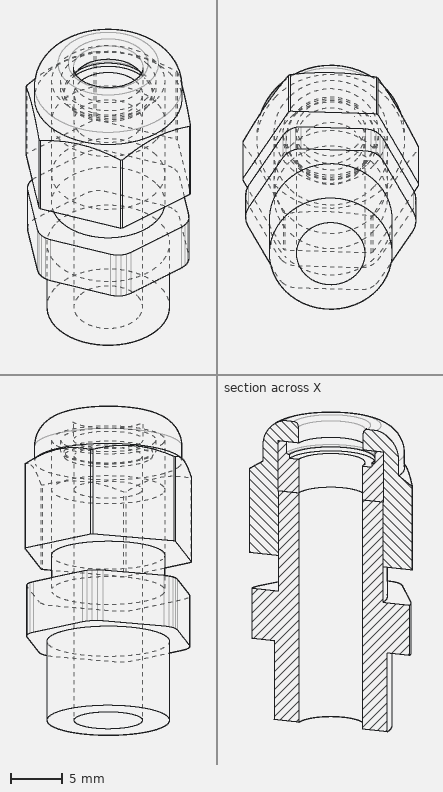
import cadquery as cq
import math

total_height = 30.5
across_flats = 15.0
hex_sides = 6
hex_sector = 360 / hex_sides
half_sector = hex_sector / 2
flat_distance = across_flats / 2
hex_circumradius = flat_distance / math.cos(math.radians(half_sector))

cable_radius = 3.35
thread_radius = 6.0
thread_length = 8.0
flange_thickness = 5.12
flange_corner_radius = 2.0
flange_corner_facets = 4
neck_radius = 5.55
flange_top = thread_length + flange_thickness

nut_bottom = 16.68
nut_bore_radius = 3.42
nut_corner_radius = 8.6
entry_round = 0.5
lip_depth = 2.17
dome_radius = 7.23
dome_height = 2.85
dome_arc_radius = 2.9
collar_height = 1.52
corner_drop = 0.9
lip_underside = total_height - lip_depth
dome_base = total_height - dome_height
shoulder = dome_base - collar_height

recess_radius = 4.33
recess_floor_depth = 3.78
recess_rim_depth = 3.4
mouth_radius = 4.67
mouth_round = 0.15
seal_bottom = 23.3
recess_floor = total_height - recess_floor_depth
recess_rim = total_height - recess_rim_depth


def cylinder(radius, bottom, top):
    return cq.Workplane("XY").workplane(offset=bottom).circle(radius).extrude(top - bottom)


def polar(radius, degrees):
    angle = math.radians(degrees)
    return radius * math.cos(angle), radius * math.sin(angle)


def make_flange():
    """Hexagon whose corners are rounded in short flat facets."""
    corner_centre_radius = hex_circumradius - flange_corner_radius / math.cos(math.radians(half_sector))
    outline = []
    for corner in range(hex_sides):
        direction = half_sector + hex_sector * corner
        centre_x, centre_y = polar(corner_centre_radius, direction)
        for step in range(flange_corner_facets + 1):
            turn = direction - half_sector + hex_sector * step / flange_corner_facets
            offset_x, offset_y = polar(flange_corner_radius, turn)
            outline.append((centre_x + offset_x, centre_y + offset_y))
    base = cq.Workplane("XY").workplane(offset=thread_length)
    return base.polyline(outline).close().extrude(flange_thickness)


def make_housing():
    thread = cylinder(thread_radius, 0, thread_length)
    neck = cylinder(neck_radius, flange_top, seal_bottom)
    bore = cylinder(cable_radius, 0, seal_bottom)
    return thread.union(make_flange()).union(neck).cut(bore)


def make_nut_envelope():
    """Revolved outside of the nut: dome, collar, cone and the cylinder that trims the corners."""
    arc_centre_x = dome_radius - dome_arc_radius
    dome_top_radius = arc_centre_x + math.sqrt(dome_arc_radius**2 - dome_height**2)
    mid_angle = math.degrees(math.asin(dome_height / dome_arc_radius)) / 2
    mid_x, mid_z = polar(dome_arc_radius, mid_angle)
    return (
        cq.Workplane("XZ")
        .moveTo(0, nut_bottom)
        .lineTo(nut_corner_radius, nut_bottom)
        .lineTo(nut_corner_radius, shoulder - corner_drop)
        .lineTo(dome_radius, shoulder)
        .lineTo(dome_radius, dome_base)
        .threePointArc((arc_centre_x + mid_x, dome_base + mid_z), (dome_top_radius, total_height))
        .lineTo(0, total_height)
        .close()
        .revolve(360, (0, 0, 0), (0, 1, 0))
    )


def make_nut():
    corners = [polar(hex_circumradius, half_sector + hex_sector * corner) for corner in range(hex_sides)]
    hexagon = (
        cq.Workplane("XY")
        .workplane(offset=nut_bottom)
        .polyline(corners)
        .close()
        .extrude(total_height - nut_bottom)
    )
    nut = hexagon.intersect(make_nut_envelope())
    nut = nut.cut(cylinder(nut_bore_radius, lip_underside, total_height))
    nut = nut.faces(">Z").edges("%CIRCLE").edges(cq.selectors.RadiusNthSelector(0)).fillet(entry_round)
    return nut.cut(cylinder(neck_radius, nut_bottom, lip_underside))


def make_seal():
    """Ring under the nut lip: a rounded mouth leads down to a flat rim and a stepped recess."""
    arc_centre_x = mouth_radius - mouth_round
    arc_centre_z = recess_rim + mouth_round
    mid_x, mid_z = polar(mouth_round, -45)
    return (
        cq.Workplane("XZ")
        .moveTo(cable_radius, seal_bottom)
        .lineTo(neck_radius, seal_bottom)
        .lineTo(neck_radius, lip_underside)
        .lineTo(mouth_radius, lip_underside)
        .lineTo(mouth_radius, arc_centre_z)
        .threePointArc((arc_centre_x + mid_x, arc_centre_z + mid_z), (arc_centre_x, recess_rim))
        .lineTo(recess_radius, recess_rim)
        .lineTo(recess_radius, recess_floor)
        .lineTo(cable_radius, recess_floor)
        .close()
        .revolve(360, (0, 0, 0), (0, 1, 0))
    )


housing = make_housing()
nut = make_nut()
seal = make_seal()

result = cq.Compound.makeCompound([housing.val(), nut.val(), seal.val()])